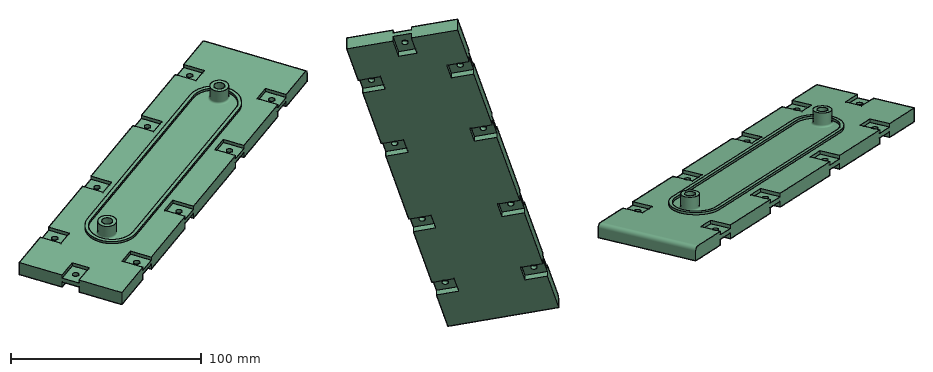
import cadquery as cq

plate_length = 220
plate_width = 60.0
plate_height = 8.0
end_round = 2.5

pad_width = 10.0
pad_reach = 12.0
pad_top_depth = 2.0
pad_bottom_depth = 3.3
screw_hole_diameter = 3.3
side_pad_offsets = (30.0, 80.0)

rim_length = 150.0
rim_width = 28.5
rim_wall = 2.0
rim_height = 1.3

overall_height = 16.0
boss_spacing = 133.0
boss_diameter = 10.0
boss_base_round = 1.0
bore_diameter = 4.5
bore_mouth_diameter = 5.7
bore_mouth_depth = 6.0
bore_depth = overall_height - plate_height

boss_places = [(0, boss_spacing / 2), (0, -boss_spacing / 2)]


def base_plate():
    """Flat plate with its top edge rounded at the +Y end only."""
    plate = cq.Workplane("XY").box(plate_width, plate_length, plate_height, centered=(True, True, False))
    return plate.edges(">Y and >Z").fillet(end_round)


def rim():
    """Stadium-shaped rim of even thickness around a pocket whose floor is flush with the plate."""
    base = cq.Workplane("XY").workplane(offset=plate_height)
    outer = base.slot2D(rim_length, rim_width, 90).extrude(rim_height)
    pocket = base.slot2D(rim_length - 2 * rim_wall, rim_width - 2 * rim_wall, 90).extrude(rim_height)
    return outer.cut(pocket)


def bosses():
    """Plain cylinders with a concave round where they meet the pocket floor."""
    radius = boss_diameter / 2
    profile = (
        cq.Workplane("XZ")
        .moveTo(0, plate_height)
        .lineTo(radius + boss_base_round, plate_height)
        .radiusArc((radius, plate_height + boss_base_round), boss_base_round)
        .lineTo(radius, overall_height)
        .lineTo(0, overall_height)
        .close()
    )
    boss = profile.revolve(360, (0, 0, 0), (0, 1, 0)).val()
    return cq.Workplane("XY").pushPoints(boss_places).eachpoint(lambda place: boss.moved(place))


def boss_bores():
    """Blind bores that step down to a smaller diameter below a wide mouth."""
    top = cq.Workplane("XY").workplane(offset=overall_height)
    mouth = top.circle(bore_mouth_diameter / 2).extrude(-bore_mouth_depth)
    bore = top.circle(bore_diameter / 2).extrude(-bore_depth).union(mouth).val()
    return cq.Workplane("XY").pushPoints(boss_places).eachpoint(lambda place: bore.moved(place))


def pad_cut():
    """Cutter reaching in along +Y from an edge at Y = 0: two facing recesses and a screw hole."""
    centre = cq.Workplane("XY").center(0, pad_reach / 2)
    bottom = centre.rect(pad_width, pad_reach).extrude(pad_bottom_depth)
    top = centre.workplane(offset=plate_height).rect(pad_width, pad_reach).extrude(-pad_top_depth)
    hole = centre.circle(screw_hole_diameter / 2).extrude(plate_height)
    return bottom.union(top).union(hole)


result = base_plate().union(rim()).union(bosses()).cut(boss_bores())

cutter = pad_cut()
result = result.cut(cutter.translate((0, -plate_length / 2, 0)))

left_cutter = cutter.rotate((0, 0, 0), (0, 0, 1), -90).translate((-plate_width / 2, 0, 0))
right_cutter = left_cutter.mirror("YZ")
for offset in side_pad_offsets:
    for y in (offset, -offset):
        result = result.cut(left_cutter.translate((0, y, 0)))
        result = result.cut(right_cutter.translate((0, y, 0)))